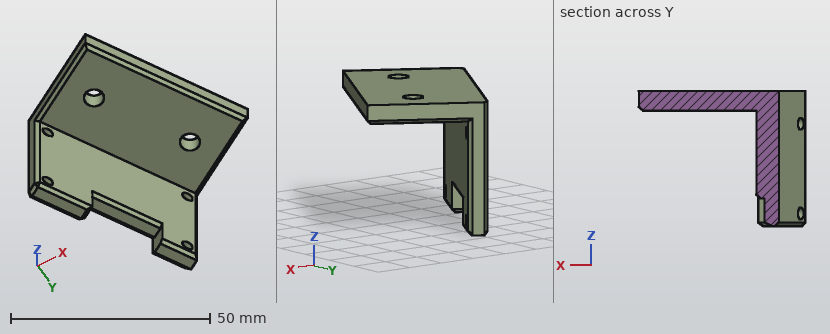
import cadquery as cq

length = 46.5
depth = 30.55
height = 34.0
thickness = 5.0
chamfer = 1.0
turn_angle = -30

notch_start = 16.0
notch_width = 20.05
notch_height = 7.0

wall_hole_diameter = 2.9
wall_hole_margin = 3.25
wall_hole_rise = 22.5

plate_hole_diameter = 5.0
plate_hole_margin = 9.5
plate_hole_offset = 17.7

plate_bottom = height - thickness
notch_end = notch_start + notch_width


def edge_cutter(corner, directions, span, axis):
    """Triangular prism that chamfers one edge.

    corner: the edge in the two other coordinates, in XYZ order
    directions: signs pointing from the edge into the material
    span: start and end of the cut along the axis
    """
    start, end = span
    reach = 2 * chamfer
    a, b = corner
    da, db = directions
    points = [
        (a + da * reach, b - db * chamfer),
        (a - da * chamfer, b + db * reach),
        (a - da * chamfer, b - db * chamfer),
    ]
    planes = {
        "X": cq.Plane((start, 0, 0), xDir=(0, 1, 0), normal=(1, 0, 0)),
        "Y": cq.Plane((0, end, 0), xDir=(1, 0, 0), normal=(0, -1, 0)),
        "Z": cq.Plane((0, 0, start)),
    }
    return cq.Workplane(planes[axis]).polyline(points).close().extrude(end - start)


def foot_corner_cutter(x, y, inward_x, inward_y):
    """Tetrahedron that bevels a foot corner where three chamfers meet."""
    leg = 2 * chamfer
    corner = cq.Vector(x, y, 0)
    tip_x = cq.Vector(x + inward_x * leg, y, 0)
    tip_y = cq.Vector(x, y + inward_y * leg, 0)
    tip_z = cq.Vector(x, y, leg)
    triangles = [
        (corner, tip_x, tip_y),
        (corner, tip_x, tip_z),
        (corner, tip_y, tip_z),
        (tip_x, tip_y, tip_z),
    ]
    faces = [cq.Face.makeFromWires(cq.Wire.makePolygon(tri, close=True)) for tri in triangles]
    return cq.Workplane(cq.Solid.makeSolid(cq.Shell.makeShell(faces)))


def make_plate():
    plate = cq.Workplane("XY").box(depth, length, thickness, centered=False)
    plate = plate.translate((0, 0, plate_bottom))
    plate = plate.cut(edge_cutter((depth, plate_bottom), (-1, 1), (0, length), "Y"))
    for y, inward in ((0, 1), (length, -1)):
        span = (thickness - chamfer, depth)
        plate = plate.cut(edge_cutter((y, plate_bottom), (inward, 1), span, "X"))
    return plate


def make_notch():
    notch = cq.Workplane("XY").box(thickness, notch_width, notch_height, centered=False)
    notch = notch.translate((0, notch_start, 0))
    notch = notch.union(edge_cutter((thickness, notch_height), (-1, 1), (notch_start, notch_end), "Y"))
    flare_start = notch_start - chamfer
    flare_top = notch_height + chamfer
    top_edge = ((0, notch_height), (1, 1))
    side_edge = ((0, notch_start), (1, -1))
    notch = notch.union(edge_cutter(*top_edge, (notch_start, notch_end), "Y"))
    notch = notch.union(edge_cutter(*side_edge, (0, notch_height), "Z"))
    top_end = edge_cutter(*top_edge, (flare_start, notch_start), "Y")
    side_end = edge_cutter(*side_edge, (notch_height, flare_top), "Z")
    notch = notch.union(top_end.intersect(side_end))
    return notch.union(edge_cutter((notch_start, 0), (-1, 1), (0, thickness), "X"))


def make_wall():
    wall = cq.Workplane("XY").box(thickness, length, height, centered=False)
    for y, inward in ((0, 1), (length, -1)):
        wall = wall.cut(edge_cutter((thickness, y), (-1, inward), (0, height), "Z"))
    for x, inward in ((0, 1), (thickness, -1)):
        wall = wall.cut(edge_cutter((x, 0), (inward, 1), (0, length), "Y"))
    wall = wall.cut(edge_cutter((0, 0), (1, 1), (0, thickness), "X"))
    wall = wall.cut(make_notch())
    foot_corners = [(0, 0, 1, 1), (thickness, 0, -1, 1), (0, notch_start, 1, -1)]
    for foot_corner in foot_corners:
        wall = wall.cut(foot_corner_cutter(*foot_corner))
    return wall


def make_wall_holes():
    centers = [
        (y, z)
        for y in (wall_hole_margin, length - wall_hole_margin)
        for z in (wall_hole_margin, wall_hole_margin + wall_hole_rise)
    ]
    return cq.Workplane("YZ").pushPoints(centers).circle(wall_hole_diameter / 2).extrude(thickness)


def make_plate_holes():
    centers = [(plate_hole_offset, y) for y in (plate_hole_margin, length - plate_hole_margin)]
    holes = cq.Workplane("XY").workplane(offset=plate_bottom).pushPoints(centers)
    return holes.circle(plate_hole_diameter / 2).extrude(thickness)


bracket = make_wall().union(make_plate())

for corner_y, inward_y in ((0, 1), (length, -1)):
    bracket = bracket.cut(edge_cutter((0, corner_y), (1, inward_y), (0, height), "Z"))

bracket = bracket.cut(make_wall_holes()).cut(make_plate_holes())
result = bracket.rotate((0, 0, 0), (0, 0, 1), turn_angle)